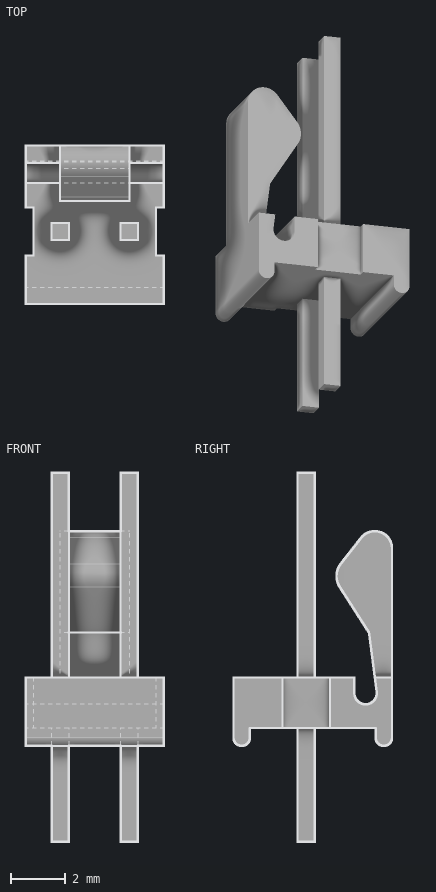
import cadquery as cq
import math


base_width = 5.08
base_depth = 5.85
base_height = 1.88
back_y = base_depth / 2
front_y = -base_depth / 2

foot_thickness = 0.61
foot_height = 0.65
foot_radius = foot_thickness / 2

pin_size = 0.64
pin_pitch = 2.54
pin_length = 13.59
pin_bottom = -4.19
pin_y = back_y - 3.17
notch_length = 1.75
notch_depth = 0.29

groove_radius = 0.41
groove_y = back_y - 0.98
groove_z = 1.29

latch_width = 2.57
tip_radius = 0.64
nose_radius = 0.73
latch_top = 7.26
latch_reach = 2.05
tip_y = back_y - tip_radius
tip_z = latch_top - tip_radius
nose_y = back_y - latch_reach + nose_radius
nose_z = 5.6
waist = (back_y - 0.85, 3.52)


def on_circle(center, radius, angle):
    """Return the (Y, Z) point at an angle in radians measured from +Y."""
    return (center[0] + radius * math.cos(angle), center[1] + radius * math.sin(angle))


def tangent_angle(point, center, radius, side):
    """Return the angle at which a line from the point touches the circle; side is +1 or -1."""
    rise = point[1] - center[1]
    run = point[0] - center[0]
    return math.atan2(rise, run) + side * math.acos(radius / math.hypot(run, rise))


def extrude_across(profile, width):
    """Extrude a YZ profile symmetrically about X = 0."""
    return profile.extrude(width / 2, both=True)


groove_center = (groove_y, groove_z)
groove_touch_angle = tangent_angle(waist, groove_center, groove_radius, -1)
groove_touch = on_circle(groove_center, groove_radius, groove_touch_angle)
groove_bottom = (groove_y, groove_z - groove_radius)
groove_front_y = groove_y - groove_radius

waist_fraction = (base_height - groove_touch[1]) / (waist[1] - groove_touch[1])
latch_root_y = groove_touch[0] + waist_fraction * (waist[0] - groove_touch[0])


def make_base():
    foot_arc_z = foot_radius - foot_height
    profile = (
        cq.Workplane("YZ")
        .moveTo(back_y, base_height)
        .lineTo(latch_root_y, base_height)
        .lineTo(*groove_touch)
        .threePointArc(groove_bottom, (groove_front_y, groove_z))
        .lineTo(groove_front_y, base_height)
        .lineTo(front_y, base_height)
        .lineTo(front_y, foot_arc_z)
        .threePointArc((front_y + foot_radius, -foot_height), (front_y + foot_thickness, foot_arc_z))
        .lineTo(front_y + foot_thickness, 0)
        .lineTo(back_y - foot_thickness, 0)
        .lineTo(back_y - foot_thickness, foot_arc_z)
        .threePointArc((back_y - foot_radius, -foot_height), (back_y, foot_arc_z))
        .close()
    )
    notches = (
        cq.Workplane("XY")
        .pushPoints([(-base_width / 2, pin_y), (base_width / 2, pin_y)])
        .rect(2 * notch_depth, notch_length)
        .extrude(base_height)
    )
    return extrude_across(profile, base_width).cut(notches)


def make_latch():
    tip = (tip_y, tip_z)
    nose = (nose_y, nose_z)
    center_distance = math.dist(tip, nose)
    center_angle = math.atan2(nose_z - tip_z, nose_y - tip_y)
    slope_angle = center_angle - math.acos((tip_radius - nose_radius) / center_distance)
    under_angle = tangent_angle(waist, nose, nose_radius, -1)
    profile = (
        cq.Workplane("YZ")
        .moveTo(back_y, base_height)
        .lineTo(back_y, tip_z)
        .threePointArc((tip_y, latch_top), on_circle(tip, tip_radius, slope_angle))
        .lineTo(*on_circle(nose, nose_radius, slope_angle))
        .threePointArc((nose_y - nose_radius, nose_z), on_circle(nose, nose_radius, under_angle))
        .lineTo(*waist)
        .lineTo(latch_root_y, base_height)
        .close()
    )
    return extrude_across(profile, latch_width)


def make_pins():
    return (
        cq.Workplane("XY", origin=(0, 0, pin_bottom))
        .pushPoints([(-pin_pitch / 2, pin_y), (pin_pitch / 2, pin_y)])
        .rect(pin_size, pin_size)
        .extrude(pin_length)
    )


result = make_base().union(make_latch()).union(make_pins())